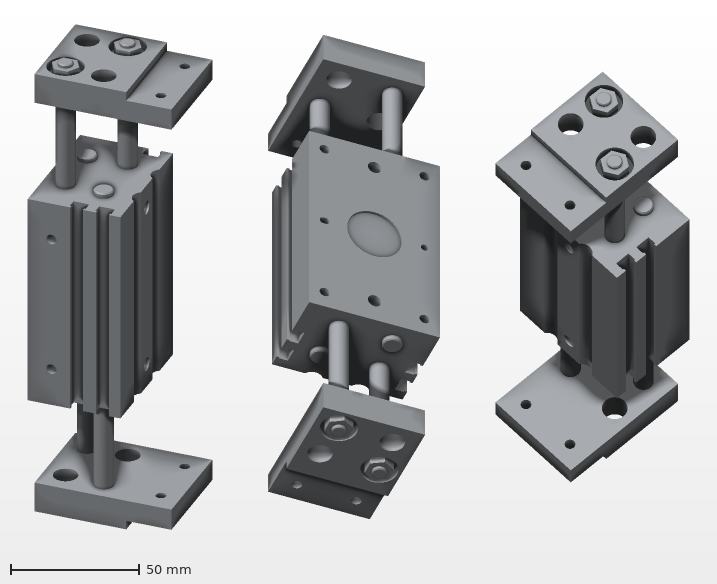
import cadquery as cq
import math


total_height = 200.0
total_depth = 58.0

housing_depth = 39.0
housing_width = 55.0
housing_height = 90.0

finger_hole_spacing = 25.0

rod_diameter = 8.0
near_rod_x = 9.5
near_rod_y = -11.2
far_rod_x = 26.0
far_rod_y = finger_hole_spacing / 2
rod_overhang = 2.2
rod_chamfer = 0.5
upper_rods = [(near_rod_x, near_rod_y), (far_rod_x, far_rod_y)]
lower_rods = [(x, -y) for x, y in upper_rods]

plate_inset = 0.5
plate_width = 42.8
plate_thickness = 12.8
plate_step = 3.8
stud_overhang = 2.2
stud_diameter = 6.0
stud_chamfer = 0.5
plate_top = total_height / 2 - stud_overhang
plate_bottom = plate_top - plate_thickness
clearance_diameter = 10.0
counterbore_diameter = 15.0
counterbore_depth = 4.5
nut_across_flats = 10.0
nut_height = 5.2
finger_hole_diameter = 4.2
finger_hole_x = 50.0

slot_centers_x = (20.5, 31.5)
slot_mouth_width = 5.5
slot_inner_width = 6.5
slot_lip = 1.2
slot_depth = 5.0

groove_radius = 4.5
groove_depth = 2.0
groove_offset_y = 9.8

through_hole_diameter = 5.5
through_hole_spacing = 70.0
tapped_diameter = 4.2
tapped_depth = 8.0
tapped_spacing_y = 42.0
tapped_spacing_z = 75.0
dowel_diameter = 3.0
dowel_slot_length = 4.0
dowel_depth = 4.0
recess_diameter = 23.0
recess_depth = 1.2

port_diameter = 4.2
port_depth = 8.0
port_x = 10.0
port_spacing = 58.0


def box(x_range, y_range, z_range):
    """Block that spans the given (low, high) ranges."""
    sizes = [high - low for low, high in (x_range, y_range, z_range)]
    corner = (x_range[0], y_range[0], z_range[0])
    return cq.Workplane("XY").box(*sizes, centered=False).translate(corner)


def cylinders(points, diameter, z_bottom, z_top):
    """Upright cylinders at the (x, y) points."""
    base = cq.Workplane("XY").workplane(offset=z_bottom).pushPoints(points)
    return base.circle(diameter / 2).extrude(z_top - z_bottom)


def cut_t_slots(body):
    half_height = housing_height / 2
    for side in (1, -1):
        face_y = side * housing_width / 2
        lip_y = face_y - side * slot_lip
        floor_y = face_y - side * slot_depth
        for x in slot_centers_x:
            for width, outer_y in ((slot_mouth_width, face_y), (slot_inner_width, lip_y)):
                slot = box(
                    (x - width / 2, x + width / 2),
                    (min(outer_y, floor_y), max(outer_y, floor_y)),
                    (-half_height, half_height),
                )
                body = body.cut(slot)
    return body


def cut_back_grooves(body):
    groove_x = housing_depth - groove_depth + groove_radius
    centers = [(groove_x, groove_offset_y), (groove_x, -groove_offset_y)]
    return body.cut(cylinders(centers, 2 * groove_radius, -housing_height / 2, housing_height / 2))


def cut_mounting_face(body):
    face = cq.Workplane("YZ")
    corners = face.rect(tapped_spacing_y, tapped_spacing_z, forConstruction=True).vertices()
    body = body.cut(corners.circle(tapped_diameter / 2).extrude(tapped_depth))

    through_points = [(0, -through_hole_spacing / 2), (0, through_hole_spacing / 2)]
    through_holes = face.pushPoints(through_points).circle(through_hole_diameter / 2)
    body = body.cut(through_holes.extrude(housing_depth))

    dowel_y = tapped_spacing_y / 2
    dowel_hole = face.center(-dowel_y, 0).circle(dowel_diameter / 2).extrude(dowel_depth)
    dowel_slot = face.center(dowel_y, 0).slot2D(dowel_slot_length, dowel_diameter).extrude(dowel_depth)
    recess = face.circle(recess_diameter / 2).extrude(recess_depth)
    return body.cut(dowel_hole).cut(dowel_slot).cut(recess)


def cut_ports(body):
    side_face = cq.Workplane("XZ", origin=(0, -housing_width / 2, 0))
    points = [(port_x, -port_spacing / 2), (port_x, port_spacing / 2)]
    return body.cut(side_face.pushPoints(points).circle(port_diameter / 2).extrude(-port_depth))


def make_housing():
    half_width = housing_width / 2
    half_height = housing_height / 2
    body = box((0, housing_depth), (-half_width, half_width), (-half_height, half_height))
    body = cut_t_slots(body)
    body = cut_back_grooves(body)
    body = cut_mounting_face(body)
    body = cut_ports(body)
    return body.cut(cylinders(upper_rods + lower_rods, rod_diameter, -half_height, half_height))


def make_plate():
    half_width = plate_width / 2
    plate = box((plate_inset, total_depth), (-half_width, half_width), (plate_bottom, plate_top))
    step = box((housing_depth, total_depth), (-half_width, half_width), (plate_top - plate_step, plate_top))
    finger_points = [
        (finger_hole_x, -finger_hole_spacing / 2),
        (finger_hole_x, finger_hole_spacing / 2),
    ]
    counterbore_floor = plate_top - counterbore_depth
    plate = plate.cut(step)
    plate = plate.cut(cylinders(finger_points, finger_hole_diameter, plate_bottom, plate_top))
    plate = plate.cut(cylinders(lower_rods, clearance_diameter, plate_bottom, plate_top))
    return plate.cut(cylinders(upper_rods, counterbore_diameter, counterbore_floor, plate_top))


def make_slide():
    """Upper slide: plate with its two rods, studs and nuts."""
    counterbore_floor = plate_top - counterbore_depth
    rod_end = -housing_height / 2 - rod_overhang
    rods = cylinders(upper_rods, rod_diameter, rod_end, counterbore_floor)
    rods = rods.faces("<Z").chamfer(rod_chamfer)
    studs = cylinders(upper_rods, stud_diameter, counterbore_floor, total_height / 2)
    studs = studs.faces(">Z").chamfer(stud_chamfer)
    nut_across_corners = nut_across_flats / math.cos(math.pi / 6)
    nut_base = cq.Workplane("XY").workplane(offset=counterbore_floor).pushPoints(upper_rods)
    nuts = nut_base.polygon(6, nut_across_corners).extrude(nut_height)
    return make_plate().union(rods).union(nuts).union(studs)


housing = make_housing().solids()
upper_slide = make_slide().solids()
lower_slide = upper_slide.rotate((0, 0, 0), (1, 0, 0), 180)

result = cq.Compound.makeCompound([housing.val(), upper_slide.val(), lower_slide.val()])